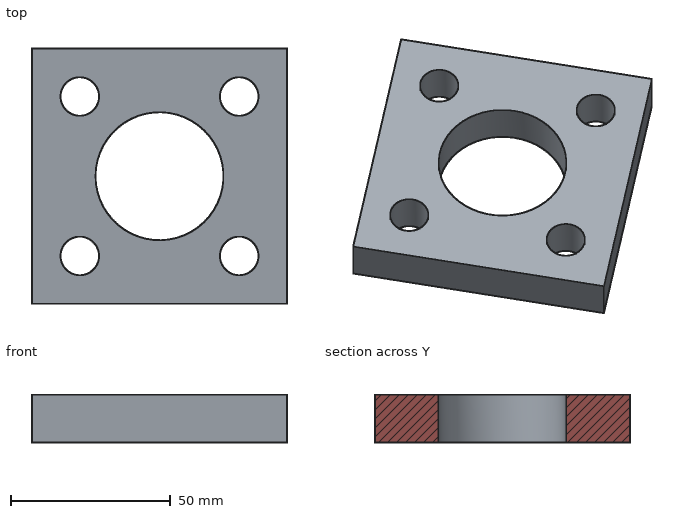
import cadquery as cq

side = 80.0
thickness = 15.0

bore_diameter = side / 2
bolt_hole_diameter = 12.0
bolt_spacing = 49.9

plate = cq.Workplane("XY").box(side, side, thickness)

bored_plate = plate.faces(">Z").workplane().hole(bore_diameter)

result = (
    bored_plate.faces(">Z")
    .workplane()
    .rect(bolt_spacing, bolt_spacing, forConstruction=True)
    .vertices()
    .hole(bolt_hole_diameter)
)